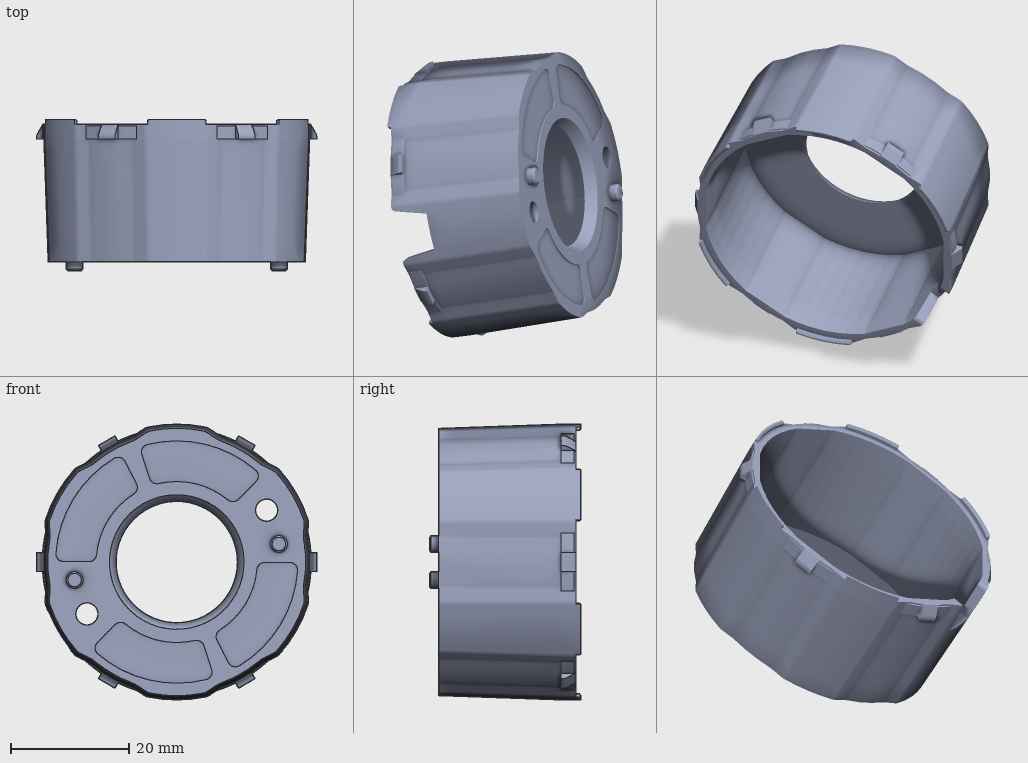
import cadquery as cq
import math

SECTORS = 6
STEP = 360 / SECTORS
FIRST_LOBE = 30

LOBE_RADIUS = 23.3
LOBE_EDGE_OFFSET = 6.8
LOBE_BLEND = 1.9
RECESS_RADIUS = 22.5
RECESS_HALF_WIDTH = 4.15
RECESS_BLEND = 1.4
DRAFT = 2.0

BODY_LENGTH = 24.05
LIP_HEIGHT = 0.8
RIM_HEIGHT = 2.55
RIM_TOP = BODY_LENGTH - LIP_HEIGHT
RIM_START = RIM_TOP - RIM_HEIGHT

CAVITY_RADIUS = 21.5
CAVITY_FLAT_HALF_ANGLE = 10.8
PLATE_THICKNESS = 1.9
BORE_RADIUS = 10.25
BORE_MOUTH_RADIUS = 11.35

LIP_HALF_ANGLE = 12.3
LIP_THICKNESS = 0.55
LIP_CORNER = 0.4
LIP_BEVEL = 0.3

TAB_RADIUS = 23.7
TAB_ROOT_RADIUS = 22.6
TAB_WIDTH = 3.2
TAB_FACE_HEIGHT = 0.47
TAB_TIP_HEIGHT = 0.8
TAB_TIP_RELIEF = 0.1
PAD_RADIUS = 22.75
PAD_WIDTH = 9.85
PAD_HEIGHT = 2.25

NOTCH_ANGLE = 210
NOTCH_DEPTH = 7.0
NOTCH_FLOOR_WIDTH = 6.45
NOTCH_SIDE_ANGLE = 10.5
NOTCH_FLARE = 0.75

POCKET_INNER_RADIUS = 13.6
POCKET_OUTER_RADIUS = 20.45
POCKET_SPAN = 62.6
POCKET_STARTS = (45.4, 117.2)
POCKET_CORNER = 1.35
POCKET_DEPTH = 0.25

FIXING_CIRCLE = 17.55
PIN_ANGLE = 10
PIN_RADIUS = 1.4
PIN_LENGTH = 1.5
PIN_CHAMFER = 0.3
HOLE_ANGLE = 30
HOLE_RADIUS = 1.85

TOLERANCE = 0.005


def polar(radius, angle):
    """Point in the XZ plane at an angle in degrees from +X towards +Z."""
    return (radius * math.cos(math.radians(angle)), radius * math.sin(math.radians(angle)))


def section(y):
    """Sketch plane across the axis; positive extrusion goes towards the front (-Y)."""
    return cq.Workplane("XZ", origin=(0, y, 0))


def turned(shape, angle):
    """Turn a shape built on the +X side to an angle from +X towards +Z."""
    return shape.rotate((0, 0, 0), (0, 1, 0), -angle)


def ring_sector(y, length, inner, outer, start, span):
    """Piece of a ring reaching from y towards the front by length."""
    end = start + span
    middle = start + span / 2
    return (
        section(y)
        .moveTo(*polar(outer, start))
        .threePointArc(polar(outer, middle), polar(outer, end))
        .lineTo(*polar(inner, end))
        .threePointArc(polar(inner, middle), polar(inner, start))
        .close()
        .extrude(length)
    )


def body_outline(y, inset):
    """Closed outline of blended lobes and recesses, drawn inward by inset."""
    lobe_radius = LOBE_RADIUS - inset
    recess_radius = RECESS_RADIUS - inset
    lobe_half = STEP / 2 - math.degrees(math.asin(LOBE_EDGE_OFFSET / lobe_radius))
    recess_half = math.degrees(math.asin(RECESS_HALF_WIDTH / recess_radius))

    outline = section(y).moveTo(*polar(lobe_radius, FIRST_LOBE - lobe_half))
    for i in range(SECTORS):
        lobe = FIRST_LOBE + i * STEP
        recess = lobe + STEP / 2
        outline = (
            outline.threePointArc(polar(lobe_radius, lobe), polar(lobe_radius, lobe + lobe_half))
            .lineTo(*polar(recess_radius, recess - recess_half))
            .threePointArc(polar(recess_radius, recess), polar(recess_radius, recess + recess_half))
            .lineTo(*polar(lobe_radius, lobe + STEP - lobe_half))
        )
    face = cq.Face.makeFromWires(outline.wire().val())

    between_corners = (lobe_radius + recess_radius) / 2
    lobe_corners = [v for v in face.Vertices() if math.hypot(v.X, v.Z) > between_corners]
    face = face.fillet2D(LOBE_BLEND, lobe_corners)
    recess_corners = [
        v for v in face.Vertices() if math.isclose(math.hypot(v.X, v.Z), recess_radius, abs_tol=TOLERANCE)
    ]
    return face.fillet2D(RECESS_BLEND, recess_corners).outerWire()


def body():
    """Straight rim at the back and a drafted body narrowing to the front plate."""
    rim_wire = body_outline(RIM_START, 0)
    front_wire = body_outline(0, RIM_START * math.tan(math.radians(DRAFT)))
    drafted = cq.Solid.makeLoft([front_wire, rim_wire], True)
    rim = cq.Solid.extrudeLinear(rim_wire, [], cq.Vector(0, RIM_HEIGHT, 0))
    return cq.Workplane(drafted).union(cq.Workplane(rim))


def cavity():
    """Round cavity with a flat behind every recess."""
    outline = section(BODY_LENGTH).moveTo(*polar(CAVITY_RADIUS, CAVITY_FLAT_HALF_ANGLE))
    for i in range(SECTORS):
        lobe = FIRST_LOBE + i * STEP
        flat_start = lobe + STEP / 2 - CAVITY_FLAT_HALF_ANGLE
        outline = outline.threePointArc(polar(CAVITY_RADIUS, lobe), polar(CAVITY_RADIUS, flat_start))
        if i < SECTORS - 1:
            outline = outline.lineTo(*polar(CAVITY_RADIUS, flat_start + 2 * CAVITY_FLAT_HALF_ANGLE))
    return outline.close().extrude(BODY_LENGTH - PLATE_THICKNESS)


def bore():
    """Conical opening through the front plate, widest at the front."""
    half_section = [
        (0, 0),
        (BORE_MOUTH_RADIUS, 0),
        (BORE_RADIUS, PLATE_THICKNESS),
        (0, PLATE_THICKNESS),
    ]
    return cq.Workplane("XY").polyline(half_section).close().revolve(360, (0, 0), (0, 1))


def lip():
    """Thin collar standing on one lobe."""
    inner = LOBE_RADIUS - LIP_THICKNESS
    collar = ring_sector(
        BODY_LENGTH, LIP_HEIGHT, inner, LOBE_RADIUS, -LIP_HALF_ANGLE, 2 * LIP_HALF_ANGLE
    )
    collar = collar.faces("<Z or >Z").edges(">Y").fillet(LIP_CORNER)
    bevel_section = [
        (0, BODY_LENGTH - LIP_BEVEL),
        (inner, BODY_LENGTH - LIP_BEVEL),
        (inner + LIP_BEVEL, BODY_LENGTH),
        (0, BODY_LENGTH),
    ]
    bevel = cq.Workplane("XY").polyline(bevel_section).close().revolve(360, (0, 0), (0, 1))
    return collar.cut(bevel)


def snap():
    """Two raised pads with a wedge-shaped snap tab between them."""
    pad_ring = section(RIM_START + PAD_HEIGHT).circle(PAD_RADIUS).circle(CAVITY_RADIUS).extrude(PAD_HEIGHT)
    pad_zone = cq.Workplane("XY").box(PAD_RADIUS, BODY_LENGTH, PAD_WIDTH, centered=(False, False, True))
    pads = pad_ring.intersect(pad_zone)
    tab = (
        cq.Workplane("XY", origin=(0, 0, -TAB_WIDTH / 2))
        .moveTo(CAVITY_RADIUS, RIM_START)
        .lineTo(TAB_RADIUS, RIM_START)
        .lineTo(TAB_RADIUS, RIM_START + TAB_FACE_HEIGHT)
        .lineTo(TAB_RADIUS - TAB_TIP_RELIEF, RIM_START + TAB_TIP_HEIGHT)
        .lineTo(TAB_ROOT_RADIUS, RIM_TOP)
        .lineTo(CAVITY_RADIUS, RIM_TOP)
        .close()
        .extrude(TAB_WIDTH)
    )
    return pads.union(tab)


def notch():
    """Flared window cut through one lobe from the back."""
    floor = BODY_LENGTH - NOTCH_DEPTH
    half_floor = NOTCH_FLOOR_WIDTH / 2
    half_mouth = half_floor + (RIM_TOP - floor) * math.tan(math.radians(NOTCH_SIDE_ANGLE))
    corners = [
        (floor, half_floor),
        (RIM_TOP, half_mouth),
        (RIM_TOP, LOBE_EDGE_OFFSET),
        (BODY_LENGTH, LOBE_EDGE_OFFSET),
    ]
    mirrored = [(y, -z) for y, z in reversed(corners)]
    window = cq.Workplane("YZ").polyline(corners + mirrored).close().extrude(TAB_RADIUS)
    mouth_edges = cq.selectors.BoxSelector(
        (0, RIM_TOP - TOLERANCE, -half_mouth - TOLERANCE),
        (TAB_RADIUS, RIM_TOP + TOLERANCE, half_mouth + TOLERANCE),
    )
    return window.edges(mouth_edges).fillet(NOTCH_FLARE)


def pocket(start):
    """Shallow kidney-shaped recess in the front face."""
    kidney = ring_sector(
        POCKET_DEPTH, POCKET_DEPTH, POCKET_INNER_RADIUS, POCKET_OUTER_RADIUS, start, POCKET_SPAN
    )
    return kidney.edges("|Y").fillet(POCKET_CORNER)


def fixing_hole(angle):
    """Cutter for a round hole through the front plate."""
    centre = section(PLATE_THICKNESS).center(*polar(FIXING_CIRCLE, angle))
    return centre.circle(HOLE_RADIUS).extrude(PLATE_THICKNESS)


def pin(angle):
    """Locating pin on the front face with a chamfered tip."""
    centre = section(0).center(*polar(FIXING_CIRCLE, angle))
    return centre.circle(PIN_RADIUS).extrude(PIN_LENGTH).faces("<Y").chamfer(PIN_CHAMFER)


result = body()
for i in range(SECTORS):
    result = result.union(turned(snap(), i * STEP))
result = result.cut(cavity()).cut(bore())
for i in range(SECTORS):
    result = result.union(turned(lip(), FIRST_LOBE + i * STEP))
result = result.cut(turned(notch(), NOTCH_ANGLE))
for half_turn in (0, 180):
    for start in POCKET_STARTS:
        result = result.cut(pocket(start + half_turn))
    result = result.cut(fixing_hole(HOLE_ANGLE + half_turn))
    result = result.union(pin(PIN_ANGLE + half_turn))